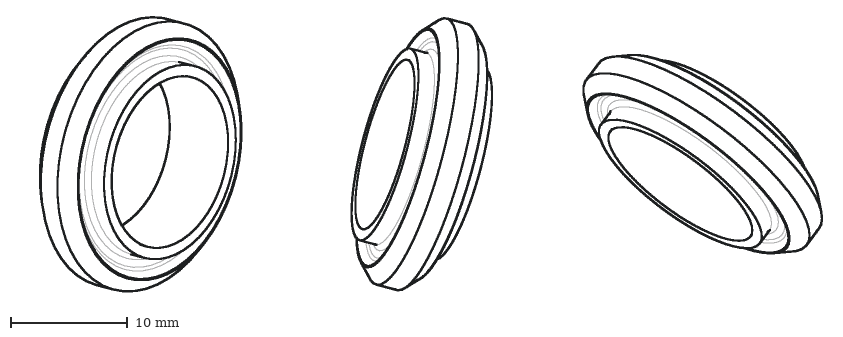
import cadquery as cq
import math

outer_radius = 11.8
bore_radius = 7.5
hub_radius = 8.5
hub_half_width = 3.35

rim_half_width = 2.17
rim_chamfer = 1.23
rim_lip = 0.12

fillet_radius = 0.42
floor_outer_radius = 9.58

lip_outer_radius = outer_radius - rim_chamfer
lip_inner_radius = lip_outer_radius - rim_lip
floor_inner_radius = hub_radius + fillet_radius

wall_angle = math.radians(45)
wall_end_radius = floor_outer_radius + fillet_radius * math.sin(wall_angle)
wall_end_x = rim_half_width - (lip_inner_radius - wall_end_radius)
floor_x = wall_end_x - fillet_radius * (1 - math.cos(wall_angle))


def fillet_point(center_radius, angle):
    """Point on a groove fillet, at an angle from the inward X direction."""
    return (
        floor_x + fillet_radius * (1 - math.cos(angle)),
        center_radius + fillet_radius * math.sin(angle),
    )


def side_relief():
    """Material outside the hub on the +X side; section X is the axis and Y the radius."""
    section = (
        cq.Workplane("XY")
        .moveTo(hub_half_width, hub_radius)
        .lineTo(floor_x + fillet_radius, hub_radius)
        .threePointArc(
            fillet_point(floor_inner_radius, -wall_angle),
            (floor_x, floor_inner_radius),
        )
        .lineTo(floor_x, floor_outer_radius)
        .threePointArc(
            fillet_point(floor_outer_radius, wall_angle / 2),
            (wall_end_x, wall_end_radius),
        )
        .lineTo(rim_half_width, lip_inner_radius)
        .lineTo(rim_half_width, lip_outer_radius)
        .lineTo(rim_half_width - rim_chamfer, outer_radius)
        .lineTo(hub_half_width, outer_radius)
        .close()
    )
    return section.revolve(360, (0, 0, 0), (1, 0, 0))


blank = (
    cq.Workplane("YZ", origin=(-hub_half_width, 0, 0))
    .circle(outer_radius)
    .circle(bore_radius)
    .extrude(2 * hub_half_width)
)

relief = side_relief()
result = blank.cut(relief).cut(relief.mirror("YZ"))